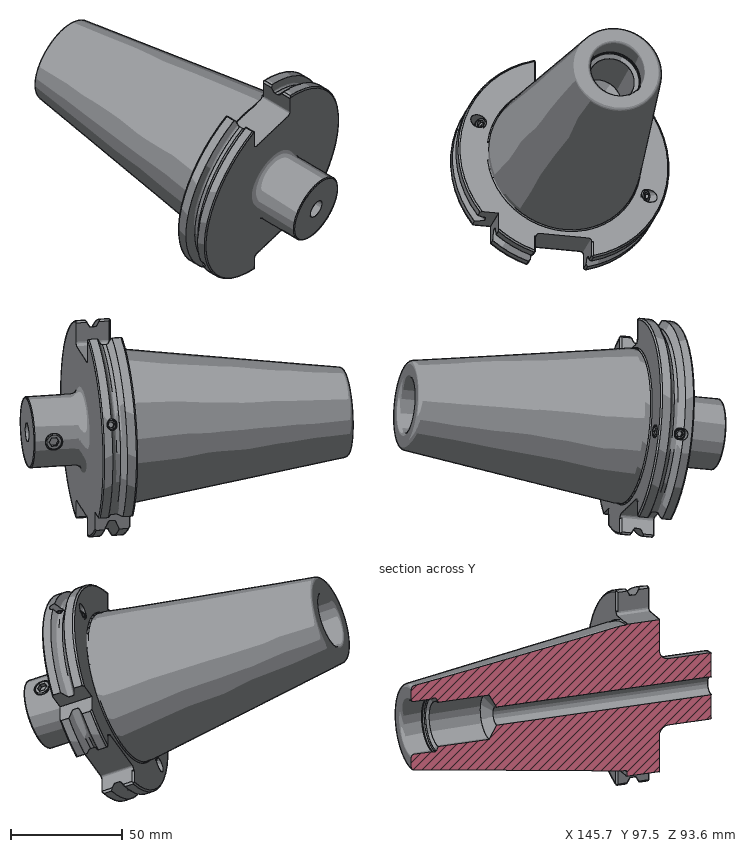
import cadquery as cq
import math

GAUGE_RADIUS = 35.0
SHANK_LENGTH = 101.7
TAPER = 7 / 48
SHANK_ROUND = 1.9
SHANK_ROOT_FILLET = 0.6

COLLAR_START = 3.0
COLLAR_END = 19.0
COLLAR_DIAMETER = 97.5
COLLAR_RADIUS = COLLAR_DIAMETER / 2
SHANK_SIDE_CHAMFER = 0.7
NOSE_SIDE_CHAMFER = 0.6

GROOVE_CENTRE = 11.2
GROOVE_ROOT_RADIUS = 45.5
GROOVE_TOP_HALF_WIDTH = 3.4
GROOVE_FLANK_ANGLE = 30
GROOVE_ROOT_ROUND = 1.0

TOTAL_LENGTH = 145.7
NOSE_END = TOTAL_LENGTH - SHANK_LENGTH
NOSE_RADIUS = 16.0
NOSE_CHAMFER = 0.5
NOSE_FILLET = 4.4

PASSAGE_RADIUS = 4.2
THREAD_RADIUS = 10.5
THREAD_DEPTH = 37.9
PILOT_RADIUS = 12.5
PILOT_DEPTH = 10.2
RELIEF_RADIUS = 12.8
RELIEF_WIDTH = 2.0
RELIEF_WALL_LENGTH = 0.6
THREAD_LEAD_IN = 0.9
DRILL_TIP_SLOPE = 30
MOUTH_ROUND = 1.5

SLOT_WIDTH = 25.6
UPPER_SLOT_FLOOR = 35.3
LOWER_SLOT_FLOOR = 37.7
SLOT_CORNER_RADIUS = 1.6
SLOT_EDGE_CHAMFER = 0.9

NOTCH_Y = 30.2
NOTCH_Z = 29.7

PORT_ANGLE = 20
FACE_PORT_PITCH_RADIUS = 42.0
FACE_PORT_TILT = 38
FACE_PORT_RADIUS = 2.9
FACE_PORT_DEPTH = 6.5
FACE_PLUG_RECESS = 1.7
RIM_PORT_X = 14.0
RIM_PORT_RADIUS = 2.6
RIM_PORT_DEPTH = 9.5
RIM_PLUG_RECESS = 3.8

SIDE_HOLE_X = 34.8
SIDE_HOLE_RADIUS = 4.0
SIDE_HOLE_DEPTH = 7.3
CLAMP_SCREW_RECESS = 0.1

SCREW_CHAMFER = 0.6
SOCKET_SHARE = 0.5
SOCKET_DEPTH = 1.7


def revolve_about_x(profile):
    """Revolve a closed XY profile, drawn on the +Y side, about the X axis."""
    return profile.close().revolve(360, (0, 0, 0), (1, 0, 0))


def shank():
    small_end_radius = GAUGE_RADIUS - SHANK_LENGTH * TAPER
    solid = revolve_about_x(
        cq.Workplane("XY")
        .moveTo(-SHANK_LENGTH, 0)
        .lineTo(-SHANK_LENGTH, small_end_radius)
        .lineTo(0, GAUGE_RADIUS)
        .lineTo(COLLAR_START - SHANK_ROOT_FILLET, GAUGE_RADIUS)
        .radiusArc((COLLAR_START, GAUGE_RADIUS + SHANK_ROOT_FILLET), -SHANK_ROOT_FILLET)
        .lineTo(COLLAR_START, 0)
    )
    return solid.faces("<X").edges().fillet(SHANK_ROUND)


def nose():
    return revolve_about_x(
        cq.Workplane("XY")
        .moveTo(COLLAR_END, 0)
        .lineTo(COLLAR_END, NOSE_RADIUS + NOSE_FILLET)
        .radiusArc((COLLAR_END + NOSE_FILLET, NOSE_RADIUS), -NOSE_FILLET)
        .lineTo(NOSE_END - NOSE_CHAMFER, NOSE_RADIUS)
        .lineTo(NOSE_END, NOSE_RADIUS - NOSE_CHAMFER)
        .lineTo(NOSE_END, 0)
    )


def drive_slot(floor, side):
    """Slot tool that opens towards +Z (side = 1) or -Z (side = -1)."""
    return (
        cq.Workplane("XY")
        .box(COLLAR_END - COLLAR_START, SLOT_WIDTH, COLLAR_RADIUS, centered=(False, True, False))
        .edges("|X and <Z")
        .fillet(SLOT_CORNER_RADIUS)
        .translate((COLLAR_START, 0, floor))
        .rotate((0, 0, 0), (1, 0, 0), 0 if side > 0 else 180)
    )


def slot_edge_chamfer(side_y, side_z, floor):
    """Bevels of one slot wall: along the collar face and along the rim."""
    wall = SLOT_WIDTH / 2
    bevel = SLOT_EDGE_CHAMFER
    foot = floor + SLOT_CORNER_RADIUS
    face_bevel = (
        cq.Workplane("XY", origin=(0, 0, foot))
        .polyline([(COLLAR_START, wall), (COLLAR_START + bevel, wall), (COLLAR_START, wall + bevel)])
        .close()
        .extrude(COLLAR_RADIUS - foot)
    )
    corner_z = math.sqrt(COLLAR_RADIUS**2 - (wall + bevel) ** 2)
    rim_bevel = (
        cq.Workplane("YZ", origin=(COLLAR_START, 0, 0))
        .polyline([
            (wall, corner_z - bevel),
            (wall + bevel, corner_z),
            (wall + bevel, COLLAR_RADIUS),
            (wall, COLLAR_RADIUS),
        ])
        .close()
        .extrude(COLLAR_END - COLLAR_START)
    )
    bevels = face_bevel.union(rim_bevel)
    if side_y < 0:
        bevels = bevels.mirror("XZ")
    if side_z < 0:
        bevels = bevels.mirror("XY")
    return bevels


def v_groove():
    """Ring-shaped tool for the V groove, with rounded root corners."""
    depth = COLLAR_RADIUS - GROOVE_ROOT_RADIUS
    root_half_width = GROOVE_TOP_HALF_WIDTH - depth * math.tan(math.radians(GROOVE_FLANK_ANGLE))
    ring = revolve_about_x(
        cq.Workplane("XY")
        .moveTo(GROOVE_CENTRE - GROOVE_TOP_HALF_WIDTH, COLLAR_RADIUS)
        .lineTo(GROOVE_CENTRE - root_half_width, GROOVE_ROOT_RADIUS)
        .lineTo(GROOVE_CENTRE + root_half_width, GROOVE_ROOT_RADIUS)
        .lineTo(GROOVE_CENTRE + GROOVE_TOP_HALF_WIDTH, COLLAR_RADIUS)
    )
    root_edges = cq.selectors.RadiusNthSelector(0)
    return ring.edges("%CIRCLE").edges(root_edges).fillet(GROOVE_ROOT_ROUND)


def collar():
    disc = (
        cq.Workplane("YZ", origin=(COLLAR_START, 0, 0))
        .circle(COLLAR_RADIUS)
        .extrude(COLLAR_END - COLLAR_START)
        .edges("<X")
        .chamfer(SHANK_SIDE_CHAMFER)
        .edges(">X")
        .chamfer(NOSE_SIDE_CHAMFER)
    )
    for floor, side_z in ((UPPER_SLOT_FLOOR, 1), (LOWER_SLOT_FLOOR, -1)):
        disc = disc.cut(drive_slot(floor, side_z))
        for side_y in (1, -1):
            disc = disc.cut(slot_edge_chamfer(side_y, side_z, floor))
    notch = (
        cq.Workplane("XY")
        .box(COLLAR_END - COLLAR_START, COLLAR_RADIUS, COLLAR_RADIUS, centered=False)
        .mirror("XY")
        .translate((COLLAR_START, NOTCH_Y, -NOTCH_Z))
    )
    return disc.cut(notch).cut(v_groove())


def axial_bore():
    pilot_end = PILOT_DEPTH - SHANK_LENGTH
    relief_end = pilot_end + RELIEF_WIDTH
    thread_end = THREAD_DEPTH - SHANK_LENGTH
    tip_length = (THREAD_RADIUS - PASSAGE_RADIUS) * math.tan(math.radians(DRILL_TIP_SLOPE))
    return revolve_about_x(
        cq.Workplane("XY")
        .moveTo(-SHANK_LENGTH, 0)
        .lineTo(-SHANK_LENGTH, PILOT_RADIUS + MOUTH_ROUND)
        .radiusArc((MOUTH_ROUND - SHANK_LENGTH, PILOT_RADIUS), -MOUTH_ROUND)
        .lineTo(pilot_end, PILOT_RADIUS)
        .lineTo(pilot_end + RELIEF_WALL_LENGTH, RELIEF_RADIUS)
        .lineTo(relief_end - RELIEF_WALL_LENGTH, RELIEF_RADIUS)
        .lineTo(relief_end, PILOT_RADIUS)
        .lineTo(relief_end + THREAD_LEAD_IN, THREAD_RADIUS)
        .lineTo(thread_end, THREAD_RADIUS)
        .lineTo(thread_end + tip_length, PASSAGE_RADIUS)
        .lineTo(NOSE_END, PASSAGE_RADIUS)
        .lineTo(NOSE_END, 0)
    )


def face_port_mouth():
    """Plane at the mouth of a face port on the +Y side; its normal points out of the metal."""
    tilt = math.radians(FACE_PORT_TILT)
    return cq.Plane(
        origin=(COLLAR_START, FACE_PORT_PITCH_RADIUS, 0),
        xDir=(0, 0, 1),
        normal=(-math.cos(tilt), math.sin(tilt), 0),
    )


def radial_mouth(x, radius):
    """Plane at the mouth of a hole that runs from the +Y side towards the axis."""
    return cq.Plane(origin=(x, radius, 0), xDir=(0, 0, 1), normal=(0, 1, 0))


def blind_hole(mouth, radius, depth):
    """Round hole, lengthened outwards so that it breaks the surface all round."""
    return cq.Workplane(mouth).workplane(offset=-depth).circle(radius).extrude(depth + 2 * radius)


def set_screw(mouth, radius, recess, depth):
    """Set screw with a hexagon socket, from its recessed outer end to the bottom of its hole."""
    socket_corners = 2 * radius * SOCKET_SHARE / math.cos(math.radians(30))
    outer_end = cq.selectors.DirectionMinMaxSelector(mouth.zDir, True)
    return (
        cq.Workplane(mouth)
        .workplane(offset=-depth)
        .circle(radius)
        .extrude(depth - recess)
        .faces(outer_end)
        .chamfer(SCREW_CHAMFER)
        .faces(outer_end)
        .workplane()
        .polygon(6, socket_corners)
        .cutBlind(-SOCKET_DEPTH)
    )


def on_both_sides(shape):
    """Two copies of a feature built on the +Y side, half a turn apart about the X axis."""
    return [shape.rotate((0, 0, 0), (1, 0, 0), PORT_ANGLE + turn) for turn in (0, 180)]


FACE_MOUTH = face_port_mouth()
RIM_MOUTH = radial_mouth(RIM_PORT_X, COLLAR_RADIUS)
SIDE_MOUTH = radial_mouth(SIDE_HOLE_X, NOSE_RADIUS)


def holder():
    solid = collar().union(shank()).union(nose()).cut(axial_bore())
    holes = [
        *on_both_sides(blind_hole(FACE_MOUTH, FACE_PORT_RADIUS, FACE_PORT_DEPTH)),
        *on_both_sides(blind_hole(RIM_MOUTH, RIM_PORT_RADIUS, RIM_PORT_DEPTH)),
        blind_hole(SIDE_MOUTH, SIDE_HOLE_RADIUS, SIDE_HOLE_DEPTH),
    ]
    for hole in holes:
        solid = solid.cut(hole)
    return solid


def face_plugs():
    return on_both_sides(set_screw(FACE_MOUTH, FACE_PORT_RADIUS, FACE_PLUG_RECESS, FACE_PORT_DEPTH))


def rim_plugs():
    return on_both_sides(set_screw(RIM_MOUTH, RIM_PORT_RADIUS, RIM_PLUG_RECESS, RIM_PORT_DEPTH))


def clamp_screw():
    return set_screw(SIDE_MOUTH, SIDE_HOLE_RADIUS, CLAMP_SCREW_RECESS, SIDE_HOLE_DEPTH)


bodies = [holder(), *face_plugs(), *rim_plugs(), clamp_screw()]

result = cq.Compound.makeCompound([body.val() for body in bodies])